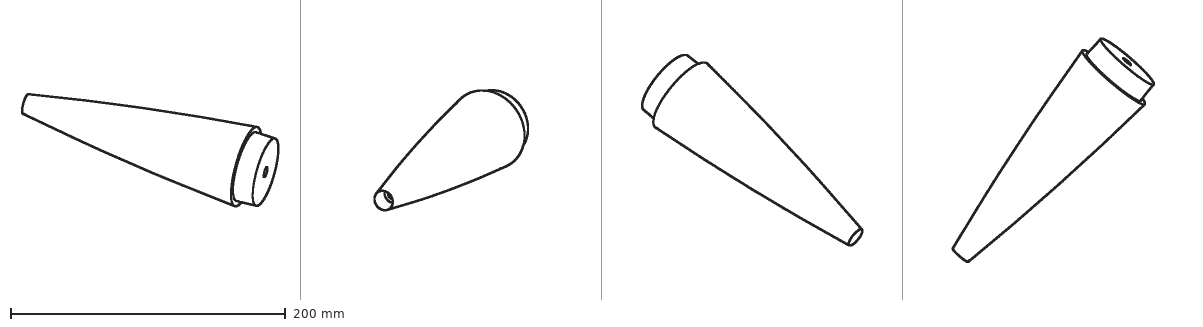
import cadquery as cq

total_length = 187.8
spigot_length = 15.2
shoulder_x = total_length - spigot_length

tip_radius = 7.5
shoulder_radius = 30.0
spigot_root_radius = 26.1
spigot_end_radius = 25.5
flank_bulge = 1.9

rim_wall = 0.2
socket_mouth_radius = tip_radius - rim_wall
socket_floor_radius = 6.5
socket_depth = 15.0
hole_radius = 3.8

flank_middle = (shoulder_x / 2, (tip_radius + shoulder_radius) / 2 + flank_bulge)

half_section = (
    cq.Workplane("XY")
    .moveTo(0, socket_mouth_radius)
    .lineTo(0, tip_radius)
    .threePointArc(flank_middle, (shoulder_x, shoulder_radius))
    .lineTo(shoulder_x, spigot_root_radius)
    .lineTo(total_length, spigot_end_radius)
    .lineTo(total_length, hole_radius)
    .lineTo(socket_depth, hole_radius)
    .lineTo(socket_depth, socket_floor_radius)
    .close()
)

result = half_section.revolve(360, (0, 0, 0), (1, 0, 0))